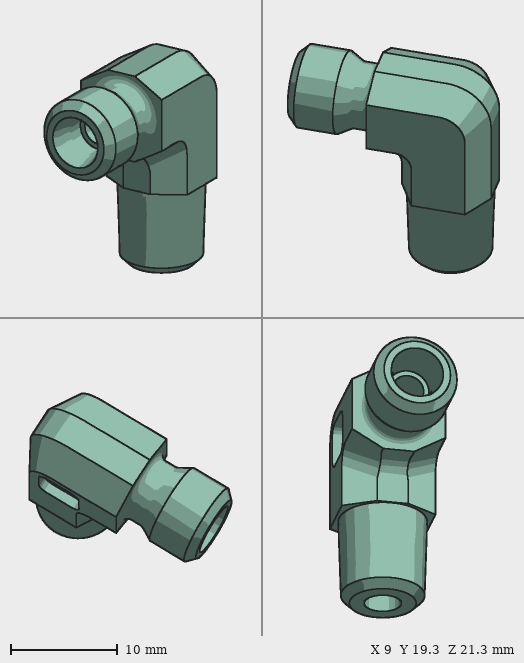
import cadquery as cq
import math


across_flats = 9.0
corner_cut = 4.33
front_leg = 7.0
lower_leg = 8.51
inner_fillet = 2.0
slant_angle = 30.0

nipple_end = 15.0
nipple_radius = 8.0 / 2
neck_radius = 6.4 / 2
neck_fillet = 0.8
cone_end = 10.39
cone_angle = 30.0
end_chamfer = 0.8

stud_end = 17.0
collar_radius = 8.35 / 2
collar_length = 0.5
taper_ratio = 1 / 32

tube_bore_radius = 3.0 / 2
tube_bore_overrun = 0.73
seat_radius = 4.0 / 2
seat_mouth_radius = 2.5
seat_angle = 12.0
seat_depth = 4.0
stud_bore_radius = 3.5 / 2
stud_bore_top = 0.2
drill_half_angle = 59.0

pocket_size = 4.44
pocket_corner = 1.0
pocket_depth = 1.0
pocket_y = -0.68
pocket_z = -0.7

slope = math.tan(math.radians(slant_angle))
half_width = across_flats / 2
edge_height = half_width * slope
cut_half_width = half_width - (corner_cut - edge_height) / slope


def truncated_hexagon(plane):
    """Hexagon with flats at +X and -X and its two other corners cut flat."""
    return plane.polyline([
        (half_width, -edge_height),
        (half_width, edge_height),
        (cut_half_width, corner_cut),
        (-cut_half_width, corner_cut),
        (-half_width, edge_height),
        (-half_width, -edge_height),
        (-cut_half_width, -corner_cut),
        (cut_half_width, -corner_cut),
    ]).close()


def inner_void(face_angle, face_distance):
    """Space outside the same hexagon face of both legs, its edge rounded to the fillet radius.

    face_angle turns the face about the leg axis; zero is the face on the inside of the bend.
    """
    angle = math.radians(face_angle)
    front_normal = cq.Vector(math.sin(angle), 0, -math.cos(angle))
    lower_normal = cq.Vector(math.sin(angle), -math.cos(angle), 0)
    outward = front_normal + lower_normal
    mitre_edge = front_normal.cross(lower_normal)
    mitre = face_distance / math.cos(angle)
    half_opening = (math.pi - front_normal.getAngle(lower_normal)) / 2

    reach = lower_leg * 2
    tangent = inner_fillet / math.tan(half_opening)
    across = math.cos(half_opening)
    aside = math.sin(half_opening)
    arc_middle = inner_fillet / aside - inner_fillet
    return (
        cq.Workplane(cq.Plane((0, -mitre, -mitre), outward, mitre_edge))
        .moveTo(reach * across, -reach * aside)
        .lineTo(tangent * across, -tangent * aside)
        .threePointArc((arc_middle, 0), (tangent * across, tangent * aside))
        .lineTo(reach * across, reach * aside)
        .close()
        .extrude(reach, both=True)
    )


def inner_corner():
    """Block that fills the inside of the elbow, hollowed by the three rounded voids."""
    size = corner_cut + inner_fillet
    return (
        cq.Workplane("XY")
        .box(across_flats, size, size)
        .translate((0, -size / 2, -size / 2))
        .cut(inner_void(0, corner_cut))
        .cut(inner_void(slant_angle, half_width))
        .cut(inner_void(-slant_angle, half_width))
    )


def elbow_body():
    """Two hexagonal legs joined by a rounded outer corner and a filleted inner corner."""
    front = truncated_hexagon(cq.Workplane("XZ")).extrude(front_leg)
    lower = truncated_hexagon(cq.Workplane("XY")).extrude(-lower_leg)
    outer_corner = (
        cq.Workplane("XY")
        .polyline([
            (half_width, 0),
            (half_width, edge_height),
            (cut_half_width, corner_cut),
            (-cut_half_width, corner_cut),
            (-half_width, edge_height),
            (-half_width, 0),
        ])
        .close()
        .revolve(90, (0, 0, 0), (1, 0, 0))
    )
    return front.union(lower).union(outer_corner).union(inner_corner()).clean()


def nipple():
    """Turned nipple: filleted neck, cone, cylinder and end chamfer."""
    angle = math.radians(cone_angle)
    blend_radius = neck_radius + neck_fillet * (1 - math.cos(angle))
    cone_start = cone_end - (nipple_radius - blend_radius) / math.tan(angle)
    blend_start = cone_start - neck_fillet * math.sin(angle)
    neck_start = front_leg + neck_fillet
    half_angle = angle / 2
    blend_middle = (
        neck_radius + neck_fillet * (1 - math.cos(half_angle)),
        -(blend_start + neck_fillet * math.sin(half_angle)),
    )
    fillet_middle = (
        neck_radius + neck_fillet * (1 - math.sqrt(0.5)),
        -(neck_start - neck_fillet * math.sqrt(0.5)),
    )
    return (
        cq.Workplane("XY")
        .moveTo(0, -front_leg)
        .lineTo(neck_radius + neck_fillet, -front_leg)
        .threePointArc(fillet_middle, (neck_radius, -neck_start))
        .lineTo(neck_radius, -blend_start)
        .threePointArc(blend_middle, (blend_radius, -cone_start))
        .lineTo(nipple_radius, -cone_end)
        .lineTo(nipple_radius, -(nipple_end - end_chamfer))
        .lineTo(nipple_radius - end_chamfer, -nipple_end)
        .lineTo(0, -nipple_end)
        .close()
        .revolve(360, (0, 0, 0), (0, 1, 0))
    )


def stud():
    """Turned stud: short collar, taper and end chamfer."""
    taper_start = lower_leg + collar_length
    taper_end = stud_end - end_chamfer
    small_radius = collar_radius - (taper_end - taper_start) * taper_ratio
    return (
        cq.Workplane("XZ")
        .polyline([
            (0, -lower_leg),
            (collar_radius, -lower_leg),
            (collar_radius, -taper_start),
            (small_radius, -taper_end),
            (small_radius - end_chamfer, -stud_end),
            (0, -stud_end),
        ])
        .close()
        .revolve(360, (0, 0, 0), (0, 1, 0))
    )


def drill_tip(radius):
    """Length of the conical tip left by a drill."""
    return radius / math.tan(math.radians(drill_half_angle))


def tube_bore():
    """Conical mouth, stepped tube seat and drilled passage along Y."""
    mouth_length = (seat_mouth_radius - seat_radius) / math.tan(math.radians(seat_angle))
    return (
        cq.Workplane("XY")
        .polyline([
            (0, -nipple_end),
            (seat_mouth_radius, -nipple_end),
            (seat_radius, -nipple_end + mouth_length),
            (seat_radius, -nipple_end + seat_depth),
            (tube_bore_radius, -nipple_end + seat_depth),
            (tube_bore_radius, tube_bore_overrun),
            (0, tube_bore_overrun + drill_tip(tube_bore_radius)),
        ])
        .close()
        .revolve(360, (0, 0, 0), (0, 1, 0))
    )


def stud_bore():
    """Drilled passage along Z that meets the tube bore."""
    return (
        cq.Workplane("XZ")
        .polyline([
            (0, -stud_end),
            (stud_bore_radius, -stud_end),
            (stud_bore_radius, stud_bore_top),
            (0, stud_bore_top + drill_tip(stud_bore_radius)),
        ])
        .close()
        .revolve(360, (0, 0, 0), (0, 1, 0))
    )


def pocket():
    """Rounded square recess in the -X face."""
    return (
        cq.Workplane("YZ", origin=(-half_width, pocket_y, pocket_z))
        .rect(pocket_size, pocket_size)
        .extrude(pocket_depth)
        .edges("|X")
        .fillet(pocket_corner)
    )


result = (
    elbow_body()
    .union(nipple())
    .union(stud())
    .cut(tube_bore())
    .cut(stud_bore())
    .cut(pocket())
)